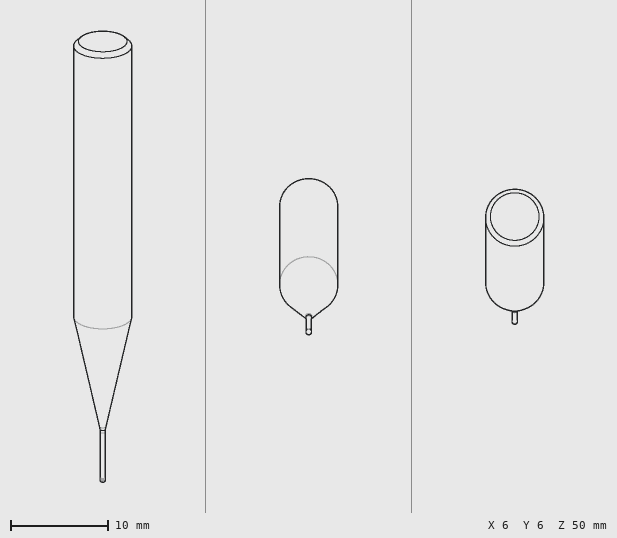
import cadquery as cq
import math

total_length = 50.0
shank_radius = 3.0
shank_chamfer = 0.5

cutter_radius = 0.3
cutter_length = 0.45

neck_radius = 0.28
relief_length = 0.1
relief_top = cutter_length + relief_length

neck_length = 6.0

cone_half_angle = math.radians(12)
cone_top = neck_length + (shank_radius - neck_radius) / math.tan(cone_half_angle)

neck_fillet_radius = 3.0
fillet_tangent_length = neck_fillet_radius * math.tan(cone_half_angle / 2)
fillet_bottom = neck_length - fillet_tangent_length
fillet_top_radius = neck_radius + fillet_tangent_length * math.sin(cone_half_angle)
fillet_top = neck_length + fillet_tangent_length * math.cos(cone_half_angle)

joint_radius = (
    neck_radius
    + neck_fillet_radius
    - math.sqrt(neck_fillet_radius**2 - fillet_tangent_length**2)
)

profile_plane = cq.Plane(origin=(0, 0, 0), xDir=(0, -1, 0), normal=(-1, 0, 0))


def revolve_about_axis(profile):
    """Turn a closed half profile fully around the tool axis (Z)."""
    return profile.revolve(360, (0, 0, 0), (0, 1, 0))


def make_cutter():
    """Ball-nosed tip with its relieved neck, up to the joint face."""
    ball_midpoint_offset = cutter_radius * math.sin(math.radians(45))
    ball_midpoint = (ball_midpoint_offset, cutter_radius - ball_midpoint_offset)
    profile = (
        cq.Workplane(profile_plane)
        .threePointArc(ball_midpoint, (cutter_radius, cutter_radius))
        .lineTo(cutter_radius, cutter_length)
        .lineTo(neck_radius, relief_top)
        .lineTo(neck_radius, fillet_bottom)
        .radiusArc((joint_radius, neck_length), neck_fillet_radius)
        .lineTo(0, neck_length)
        .close()
    )
    return revolve_about_axis(profile)


def make_shank():
    """Chamfered shank and cone, from the joint face to the top end."""
    profile = (
        cq.Workplane(profile_plane)
        .moveTo(0, neck_length)
        .lineTo(joint_radius, neck_length)
        .radiusArc((fillet_top_radius, fillet_top), neck_fillet_radius)
        .lineTo(shank_radius, cone_top)
        .lineTo(shank_radius, total_length - shank_chamfer)
        .lineTo(shank_radius - shank_chamfer, total_length)
        .lineTo(0, total_length)
        .close()
    )
    return revolve_about_axis(profile)


cutter = make_cutter()
shank = make_shank()

result = cq.Compound.makeCompound([cutter.val(), shank.val()])